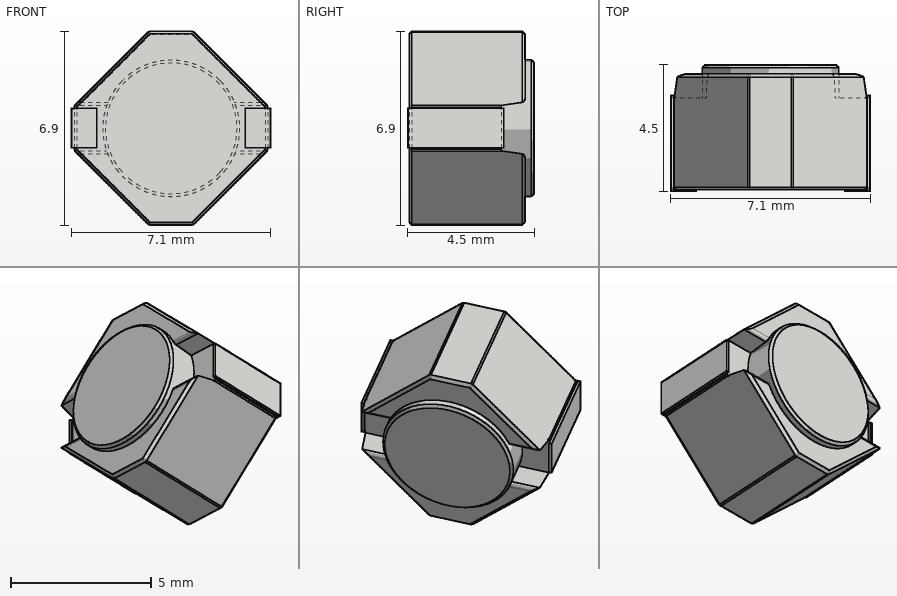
import cadquery as cq

overall_width = 7.1
body_width = 6.9
flat_width = 1.575
body_front = 0.05
body_back = 4.18
front_chamfer = 0.09
back_chamfer = 0.115
corner_chamfer = 0.04

core_radius = 2.435
core_back = 4.5
core_chamfer = 0.1

notch_floor = 3.33
notch_floor_width = 1.62
notch_neck_width = 1.83
notch_mouth_width = 2.23
lip_middle_width = 1.96
lip_middle_depth = 0.035

terminal_width = 1.405
terminal_length = 3.42
foot_length = 0.9


def make_body():
    """Octagonal prism with chamfered long edges and end faces."""
    half = body_width / 2
    flat = flat_width / 2
    corners = [
        (flat, half), (half, flat), (half, -flat), (flat, -half),
        (-flat, -half), (-half, -flat), (-half, flat), (-flat, half),
    ]
    prism = (
        cq.Workplane("XZ", origin=(0, body_front, 0))
        .polyline(corners).close()
        .extrude(body_front - body_back)
    )
    prism = prism.edges("|Y").chamfer(corner_chamfer)
    prism = prism.faces("<Y").edges().chamfer(front_chamfer)
    return prism.faces(">Y").edges().chamfer(back_chamfer)


def make_notch():
    """Flared slot running along X, with rounded lips where it meets the back face."""
    floor = notch_floor_width / 2
    neck = notch_neck_width / 2
    mouth = notch_mouth_width / 2
    neck_y = body_back - back_chamfer
    lip_mid_z = lip_middle_width / 2
    lip_mid_y = body_back - lip_middle_depth
    return (
        cq.Workplane("YZ")
        .moveTo(notch_floor, -floor)
        .lineTo(neck_y, -neck)
        .threePointArc((lip_mid_y, -lip_mid_z), (body_back, -mouth))
        .lineTo(body_back, mouth)
        .threePointArc((lip_mid_y, lip_mid_z), (neck_y, neck))
        .lineTo(notch_floor, floor)
        .close()
        .extrude(body_width / 2, both=True)
    )


def make_core():
    """Round core standing in the notch and proud of the back face."""
    return (
        cq.Workplane("XZ", origin=(0, notch_floor, 0))
        .circle(core_radius)
        .extrude(notch_floor - core_back)
        .faces(">Y").chamfer(core_chamfer)
    )


def make_terminal(side):
    """L-shaped terminal: a plate on the side flat and a foot under the front face."""
    outer = side * overall_width / 2
    inner = side * body_width / 2
    foot_end = outer - side * foot_length
    outline = [
        (outer, 0), (outer, terminal_length), (inner, terminal_length),
        (inner, body_front), (foot_end, body_front), (foot_end, 0),
    ]
    return (
        cq.Workplane("XY")
        .polyline(outline).close()
        .extrude(terminal_width / 2, both=True)
    )


result = make_body().cut(make_notch()).union(make_core())
for side in (-1, 1):
    result = result.union(make_terminal(side))